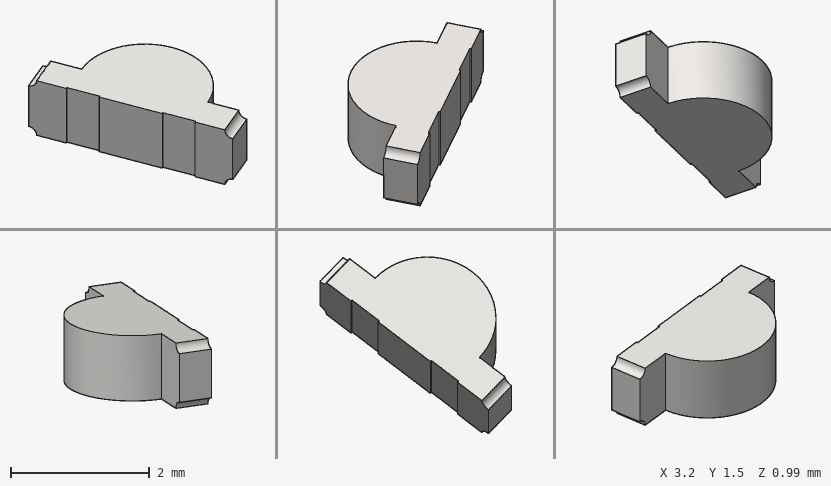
import cadquery as cq

length = 3.2
depth = 1.5
height = 0.99

lens_radius = 0.99
bar_depth = depth - lens_radius

notch_radius = 0.125

center_pad_width = 0.992
recess_width = 0.512
recess_depth = 0.022


def make_bar():
    return cq.Workplane("XY").box(length, bar_depth, height, centered=(True, False, True))


def make_lens():
    disc = cq.Workplane("XY").circle(lens_radius).extrude(height)
    back_half = cq.Workplane("XY").box(
        2 * lens_radius, lens_radius, height, centered=(True, False, True)
    )
    return disc.translate((0, 0, -height / 2)).intersect(back_half).translate((0, bar_depth, 0))


def make_corner_notches():
    return (
        cq.Workplane("XZ")
        .rect(length, height, forConstruction=True)
        .vertices()
        .circle(notch_radius)
        .extrude(-bar_depth)
    )


def make_recesses():
    recess_spacing = center_pad_width + recess_width
    return (
        cq.Workplane("XZ")
        .pushPoints([(side * recess_spacing / 2, 0) for side in (-1, 1)])
        .rect(recess_width, height)
        .extrude(-recess_depth)
    )


bar = make_bar().cut(make_corner_notches()).cut(make_recesses())
result = bar.union(make_lens())